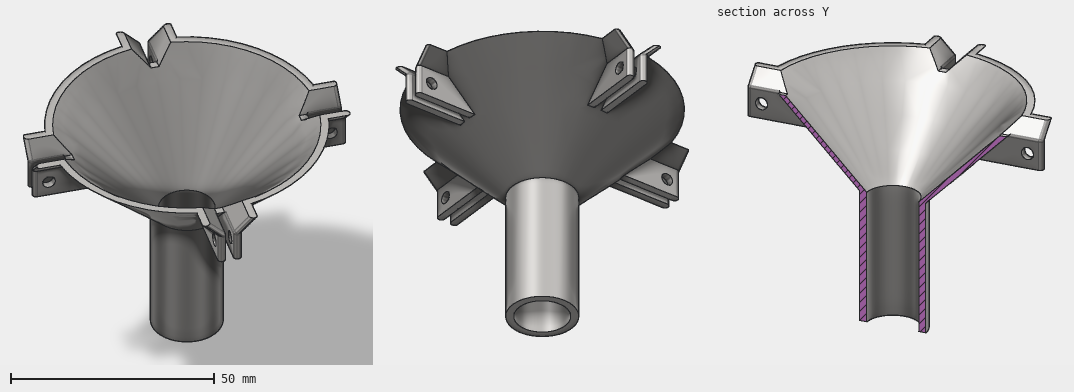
import cadquery as cq

overall_height = 61.0
mouth_diameter = 70.0
spout_diameter = 18.0
bore_diameter = 14.0
bracket_span = 80.0
slot_width = 2.0
notch_width = 10.0
plate_height = 8.0
pin_hole_diameter = 3.2
pin_hole_inset = 4.0
wing_outer_radius = 0.6
bracket_count = 4

wall = (spout_diameter - bore_diameter) / 2
cone_height = (mouth_diameter - spout_diameter) / 2
spout_length = overall_height - cone_height
notch_depth = (notch_width - slot_width) / 2
notch_floor = overall_height - notch_depth
plate_bottom = notch_floor - plate_height
bracket_reach = bracket_span / 2
edge_radius = wall / 2


def funnel_body(diameter):
    """Solid spout and 45 degree cone, revolved about Z."""
    radius = diameter / 2
    return (
        cq.Workplane("XZ")
        .lineTo(radius, 0)
        .lineTo(radius, spout_length)
        .lineTo(radius + cone_height, overall_height)
        .lineTo(0, overall_height)
        .close()
        .revolve(360, (0, 0, 0), (0, 1, 0))
    )


def along_bracket(points):
    """Extrude a (Y, Z) outline along +X from the axis to the bracket tip."""
    return cq.Workplane("YZ").polyline(points).close().extrude(bracket_reach)


def outer_sides():
    """Everything on the slot side of one plate's outer faces, with the outer tip edges rounded."""
    far_side = slot_width / 2 + wall
    upright_outline = [
        (0, plate_bottom),
        (far_side, plate_bottom),
        (far_side, notch_floor),
        (0, notch_floor),
    ]
    wing_outline = [
        (0, notch_floor),
        (far_side, notch_floor),
        (far_side + notch_depth, overall_height),
        (0, overall_height),
    ]
    upright = along_bracket(upright_outline).edges(">X").edges(">Y").fillet(edge_radius)
    wing = along_bracket(wing_outline).edges(">X").edges(">Y").fillet(wing_outer_radius)
    return upright.union(wing)


def inner_sides():
    """Everything beyond one plate's slot faces, with the bend and inner tip edges rounded."""
    near_side = slot_width / 2
    clear_side = mouth_diameter / 2
    block_outline = [
        (near_side, plate_bottom),
        (near_side, notch_floor),
        (notch_width / 2, overall_height),
        (clear_side, overall_height),
        (clear_side, plate_bottom),
    ]
    bend_tip = cq.selectors.NearestToPointSelector((bracket_reach, near_side, notch_floor))
    return along_bracket(block_outline).vertices(bend_tip).ancestors("Edge").fillet(edge_radius)


def bracket():
    """Two pinned plates along +X whose upper wings flare out at 45 degrees."""
    plate = inner_sides().intersect(outer_sides())
    pin_hole = (
        cq.Workplane("XZ", origin=(0, 0, (plate_bottom + notch_floor) / 2))
        .center(bracket_reach - pin_hole_inset, 0)
        .circle(pin_hole_diameter / 2)
        .extrude(notch_width, both=True)
    )
    return plate.union(plate.mirror("XZ")).cut(pin_hole)


def notch():
    """V-shaped opening through the rim along +X, with a flat floor."""
    return (
        cq.Workplane("YZ")
        .moveTo(-slot_width / 2, notch_floor)
        .lineTo(slot_width / 2, notch_floor)
        .lineTo(notch_width / 2, overall_height)
        .lineTo(-notch_width / 2, overall_height)
        .close()
        .extrude(bracket_reach)
    )


funnel = funnel_body(spout_diameter)
for index in range(bracket_count):
    angle = index * 360 / bracket_count
    funnel = funnel.cut(notch().rotate((0, 0, 0), (0, 0, 1), angle))
    funnel = funnel.union(bracket().rotate((0, 0, 0), (0, 0, 1), angle))

result = funnel.cut(funnel_body(bore_diameter))